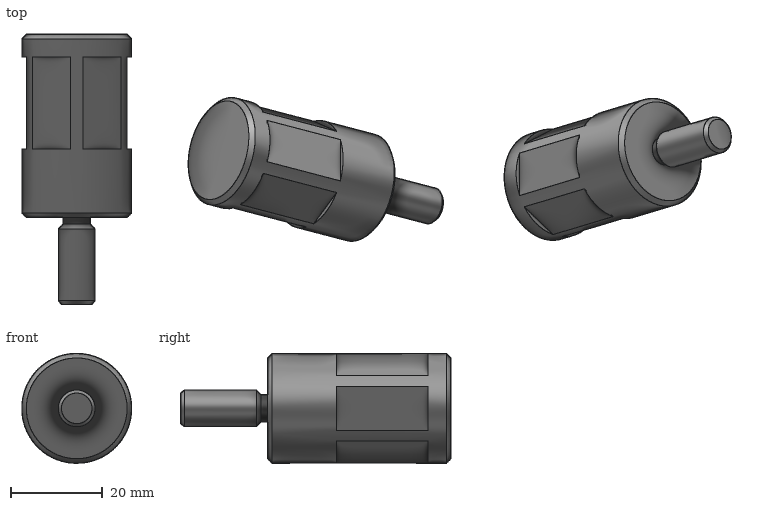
import cadquery as cq

total_length = 59.0
body_diameter = 24.0
body_length = 40.0
body_chamfer = 1.0

stud_diameter = 8.0
neck_diameter = 6.0
neck_length = 1.5
tip_diameter = 6.65
tip_chamfer_length = 0.8

flat_count = 6
across_flats = 22.0
flat_length = 20.0
rear_collar_length = 5.0

body_radius = body_diameter / 2
stud_radius = stud_diameter / 2
neck_radius = neck_diameter / 2
tip_radius = tip_diameter / 2
body_front = total_length - body_length
neck_front = body_front - neck_length
shoulder_chamfer = stud_radius - neck_radius
flat_start = total_length - rear_collar_length - flat_length


def turned_blank():
    """Stud, neck and body revolved about the Y axis."""
    profile = [
        (0, 0),
        (tip_radius, 0),
        (stud_radius, tip_chamfer_length),
        (stud_radius, neck_front - shoulder_chamfer),
        (neck_radius, neck_front),
        (neck_radius, body_front),
        (body_radius - body_chamfer, body_front),
        (body_radius, body_front + body_chamfer),
        (body_radius, total_length - body_chamfer),
        (body_radius - body_chamfer, total_length),
        (0, total_length),
    ]
    return cq.Workplane("XY").polyline(profile).close().revolve(360, (0, 0, 0), (0, 1, 0))


def flat_cutter(angle):
    """Block that removes one wrench flat, turned about the Y axis."""
    flat_distance = across_flats / 2
    return (
        cq.Workplane("XY")
        .box(body_radius, flat_length, body_diameter, centered=(False, False, True))
        .translate((flat_distance, flat_start, 0))
        .rotate((0, 0, 0), (0, 1, 0), angle)
    )


result = turned_blank()
for index in range(flat_count):
    result = result.cut(flat_cutter(index * 360 / flat_count))